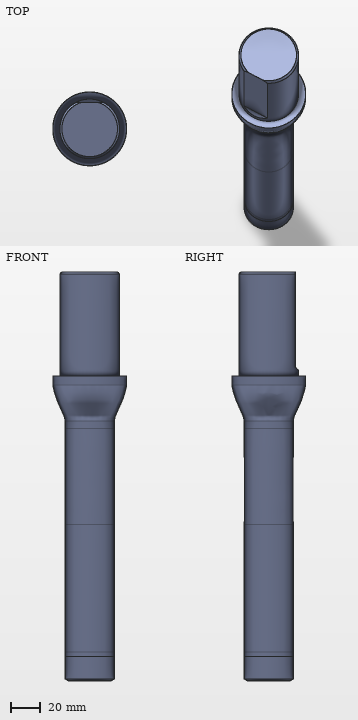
import cadquery as cq
import math

total_height = 274.0
tip_chamfer_height = 1.5
tip_top = 16.2
lead_in_top = 19.5
stem_top = 104.7
taper_top = 169.0
neck_top = 174.0
flare_top = 198.5
collar_top = 204.5

stem_diameter = 33.0
neck_diameter = 33.2
tip_diameter = 33.2
tip_face_diameter = 28.5
collar_diameter = 49.5
shank_diameter = 40.0

shank_chamfer = 1.5
flat_offset = 17.8
flat_bottom = 208.0
runout_angle = 45.0

stem_radius = stem_diameter / 2
neck_radius = neck_diameter / 2
tip_radius = tip_diameter / 2
tip_face_radius = tip_face_diameter / 2
collar_radius = collar_diameter / 2
shank_radius = shank_diameter / 2

flare_points = [
    (17.8, 179.0),
    (20.8, 185.5),
    (collar_radius, flare_top),
]
vertical = (0, 1)
flare_end_slope = (0.2, 1)


def revolve_profile(profile):
    """Close a half profile (radius, height) and turn it about the Z axis."""
    return profile.close().revolve(360, (0, 0, 0), (0, 1, 0))


def make_tip():
    """Short cylindrical cutting tip with a shallow chamfer around its end face."""
    profile = (
        cq.Workplane("XZ")
        .lineTo(tip_face_radius, 0)
        .lineTo(tip_radius, tip_chamfer_height)
        .lineTo(tip_radius, tip_top)
        .lineTo(0, tip_top)
    )
    return revolve_profile(profile)


def make_flat_cutter():
    """Prism that removes the shank flat; its lower end slopes outward and down."""
    cut_depth = shank_radius - flat_offset
    runout_rise = cut_depth / math.tan(math.radians(runout_angle))
    return (
        cq.Workplane("YZ")
        .moveTo(flat_offset, total_height)
        .lineTo(flat_offset, flat_bottom + runout_rise)
        .lineTo(shank_radius, flat_bottom)
        .lineTo(shank_radius, total_height)
        .close()
        .extrude(shank_radius, both=True)
    )


def make_holder():
    """Stem, tapered neck, flared collar and clamping shank in one piece."""
    profile = (
        cq.Workplane("XZ")
        .moveTo(0, tip_top)
        .lineTo(tip_radius, tip_top)
        .lineTo(stem_radius, lead_in_top)
        .lineTo(stem_radius, stem_top)
        .lineTo(neck_radius, taper_top)
        .lineTo(neck_radius, neck_top)
        .spline(flare_points, tangents=[vertical, flare_end_slope], includeCurrent=True)
        .lineTo(collar_radius, collar_top)
        .lineTo(shank_radius, collar_top)
        .lineTo(shank_radius, total_height - shank_chamfer)
        .lineTo(shank_radius - shank_chamfer, total_height)
        .lineTo(0, total_height)
    )
    return revolve_profile(profile).cut(make_flat_cutter())


tip = make_tip()
holder = make_holder()

result = cq.Compound.makeCompound([tip.val(), holder.val()])